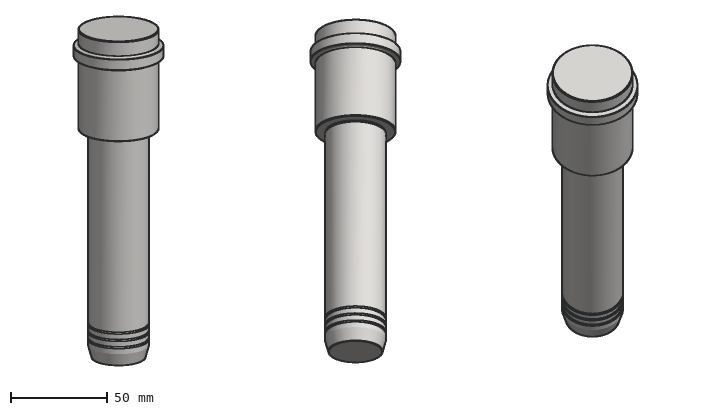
import cadquery as cq
import math

head_diameter = 42.0
flange_diameter = 47.0
shank_diameter = 32.0

total_length = 180.0
flange_top_depth = 9.0
flange_thickness = 6.0
head_length = 55.0
nose_length = 7.0
nose_half_angle = 15.0
tip_chamfer = 0.3

relief_width = 1.0
relief_depth = 0.5
groove_radius = 0.5
groove_center_heights = (10.5, 14.5, 18.5)

head_chamfer = 0.5
flange_chamfer = 0.25

head_bottom = total_length - head_length
flange_top = total_length - flange_top_depth
flange_bottom = flange_top - flange_thickness


def cylinder(diameter, bottom, top):
    """Solid cylinder on the Z axis between two heights."""
    return cq.Workplane("XY").workplane(offset=bottom).circle(diameter / 2).extrude(top - bottom)


def cut_relief(body, diameter, bottom):
    """Cut a square-sided relief into a surface of the given diameter."""
    top = bottom + relief_width
    ring = cylinder(diameter, bottom, top).cut(cylinder(diameter - 2 * relief_depth, bottom, top))
    return body.cut(ring)


def cut_groove(body, diameter, center_height):
    """Cut a half-round groove into a surface of the given diameter."""
    radius = diameter / 2
    ring = (
        cq.Workplane("XZ")
        .moveTo(radius, center_height - groove_radius)
        .threePointArc((radius - groove_radius, center_height), (radius, center_height + groove_radius))
        .close()
        .revolve(360, (0, 0), (0, 1))
    )
    return body.cut(ring)


def make_nose():
    """Conical nose that narrows to a flat tip with a broken edge."""
    taper_inset = nose_length * math.tan(math.radians(nose_half_angle))
    nose = (
        cq.Workplane("XZ")
        .lineTo(shank_diameter / 2 - taper_inset, 0)
        .lineTo(shank_diameter / 2, nose_length)
        .lineTo(0, nose_length)
        .close()
        .revolve(360, (0, 0), (0, 1))
    )
    return nose.faces("<Z").chamfer(tip_chamfer)


def make_shank():
    """Shank with its ring grooves and the relief under the head."""
    shank = cylinder(shank_diameter, nose_length, head_bottom)
    for center in groove_center_heights:
        shank = cut_groove(shank, shank_diameter, center)
    return cut_relief(shank, shank_diameter, head_bottom - relief_width)


def make_head():
    """Head with chamfered ends and a groove on each side of the flange."""
    head = cylinder(head_diameter, head_bottom, total_length)
    head = head.faces("<Z or >Z").chamfer(head_chamfer)
    for center in (flange_top + groove_radius, flange_bottom - groove_radius):
        head = cut_groove(head, head_diameter, center)
    return head


def make_flange():
    """Collar around the head with its two edges chamfered."""
    return cylinder(flange_diameter, flange_bottom, flange_top).faces("<Z or >Z").chamfer(flange_chamfer)


result = make_nose().union(make_shank()).union(make_head()).union(make_flange())